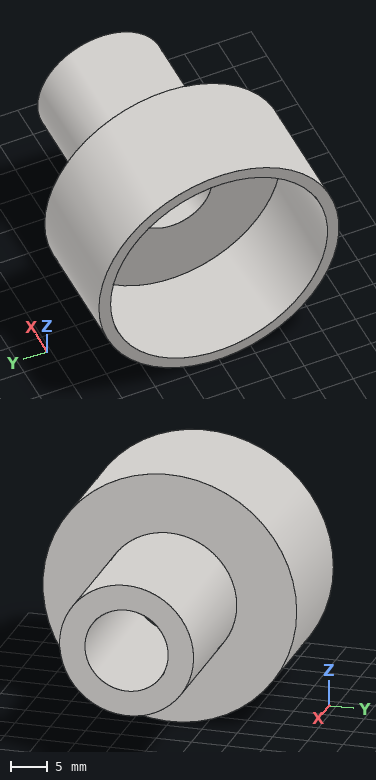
import cadquery as cq

total_length = 38.0
cup_length = 17.5
cup_outer_diameter = 36.0
cup_inner_diameter = 32.5
cup_floor_thickness = 2.5
stem_diameter = 19.0
bore_diameter = 11.8

stem_length = total_length - cup_length
cup_depth = cup_length - cup_floor_thickness


def cylinder_along_x(diameter, start_x, length):
    """Solid cylinder on the X axis, running from start_x toward +X."""
    return cq.Workplane("YZ", origin=(start_x, 0, 0)).circle(diameter / 2).extrude(length)


cup = cylinder_along_x(cup_outer_diameter, 0, cup_length)
stem = cylinder_along_x(stem_diameter, cup_length, stem_length)

cavity = cylinder_along_x(cup_inner_diameter, 0, cup_depth)
bore = cylinder_along_x(bore_diameter, 0, total_length)

result = cup.union(stem).cut(cavity).cut(bore)